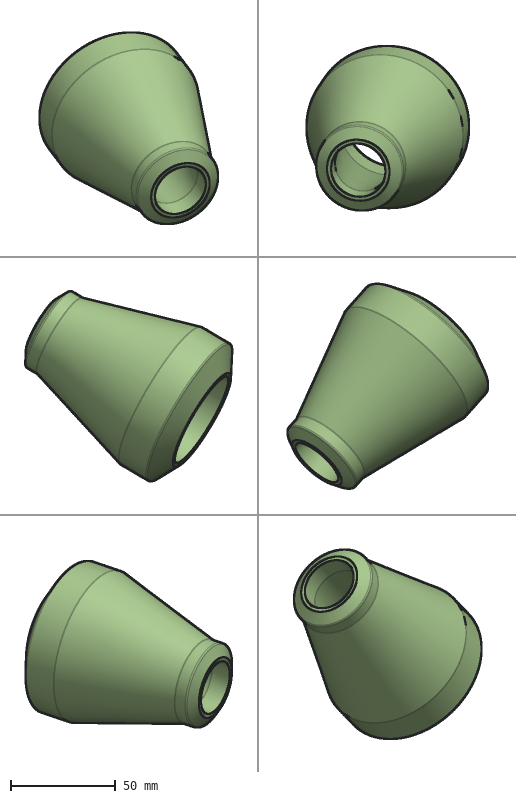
import cadquery as cq
import math

length = 90.0
large_end_length = 22.95
small_end_length = 9.9
large_bore_depth = 15.0

large_diameter = 76.1
small_diameter = 42.4
large_bore = 47.7
small_bore = 26.4

land = 2.0
bevel_angle = 30.0
edge_radius = 1.0

mouth_depth = 0.4
mouth_widening = 0.2

large_radius = large_diameter / 2
small_radius = small_diameter / 2
large_bore_radius = large_bore / 2
small_bore_radius = small_bore / 2
taper_start = large_end_length
taper_end = length - small_end_length


def bevel_depth(outer_radius, bore_radius):
    """Axial length of the bevel from the land to the outer cylinder."""
    return (outer_radius - bore_radius - land) * math.tan(math.radians(bevel_angle))


large_bevel = bevel_depth(large_radius, large_bore_radius)
small_bevel = bevel_depth(small_radius, small_bore_radius)

section = [
    (mouth_depth, large_bore_radius),
    (0, large_bore_radius + mouth_widening),
    (0, large_bore_radius + land),
    (large_bevel, large_radius),
    (taper_start, large_radius),
    (taper_end, small_radius),
    (length - small_bevel, small_radius),
    (length, small_bore_radius + land),
    (length, small_bore_radius),
    (taper_end, small_bore_radius),
    (large_bore_depth, large_bore_radius),
]
body = cq.Workplane("XY").polyline(section).close().revolve(360, (0, 0, 0), (1, 0, 0))


def ring_edge(x, radius):
    """Selector for the circular edge of given radius at position x."""
    margin = 0.1
    reach = radius + margin
    return cq.selectors.BoxSelector(
        (x - margin, -reach, -reach), (x + margin, reach, reach), boundingbox=True
    )


rounded_edges = [
    (large_bevel, large_radius),
    (taper_start, large_radius),
    (taper_end, small_radius),
    (length - small_bevel, small_radius),
]
result = body
for x, radius in rounded_edges:
    result = result.edges(ring_edge(x, radius)).fillet(edge_radius)